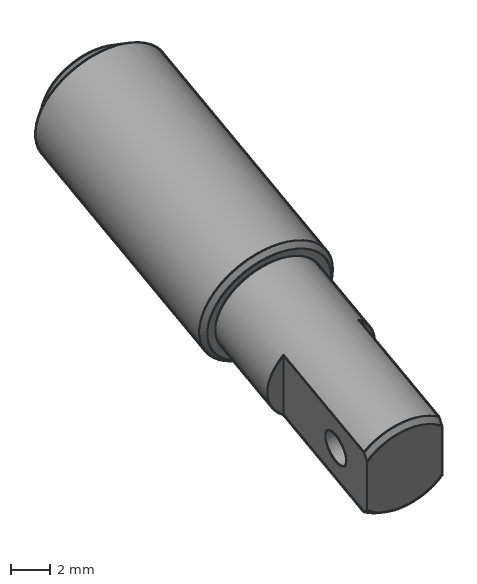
import cadquery as cq

total_length = 30.0
body_diameter = 8.0
body_length = 17.0
nose_chamfer = 1.0
shoulder_chamfer = 0.3

neck_diameter = 6.45
neck_end_chamfer = 0.3
tongue_length = 8.0
tongue_thickness = 4.5

hole_diameter = 2.0
hole_to_end = 3.0

start_x = -total_length / 2
end_x = total_length / 2
shoulder_x = start_x + body_length


def make_body():
    """Large cylinder with a wide nose chamfer and a small shoulder chamfer."""
    body = cq.Workplane("YZ", origin=(start_x, 0, 0)).circle(body_diameter / 2).extrude(body_length)
    body = body.faces("<X").chamfer(nose_chamfer)
    return body.faces(">X").chamfer(shoulder_chamfer)


def make_neck():
    """Thin cylinder with a chamfered free end."""
    neck_length = total_length - body_length
    neck = cq.Workplane("YZ", origin=(shoulder_x, 0, 0)).circle(neck_diameter / 2).extrude(neck_length)
    return neck.faces(">X").chamfer(neck_end_chamfer)


def make_flat_cutter(side):
    """Block that removes the neck beyond the tongue face on one Y side (+1 or -1)."""
    cut_depth = neck_diameter / 2
    return cq.Workplane("XY").box(tongue_length, cut_depth, neck_diameter).translate(
        (end_x - tongue_length / 2, side * (tongue_thickness + cut_depth) / 2, 0)
    )


def make_hole_cutter():
    """Cylinder along Y for the cross hole."""
    return (
        cq.Workplane("XZ", origin=(end_x - hole_to_end, 0, 0))
        .circle(hole_diameter / 2)
        .extrude(tongue_thickness, both=True)
    )


result = make_body().union(make_neck())
for side in (-1, 1):
    result = result.cut(make_flat_cutter(side))
result = result.cut(make_hole_cutter())